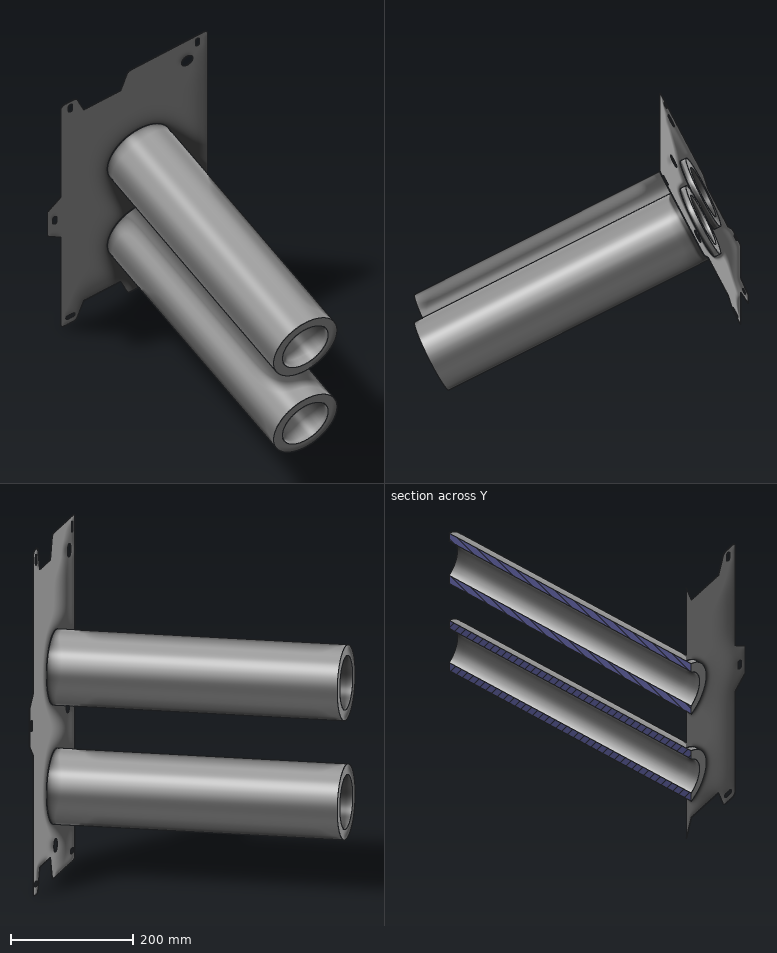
import cadquery as cq

plate_height = 580.0
plate_thickness = 1.0
plate_y_max = 134.5
plate_y_min = -154.0
corner_radius = 8.0

notch_y_max = -36.5
notch_y_min = -109.0
notch_depth = 40.0
notch_taper = 14.5

tab_reach = 26.0
tab_root_half = 53.0
tab_tip_half = 32.0

slot_length = 18.0
slot_width = 8.0
slot_y_left = 115.0
slot_y_right = -135.0
slot_z = 272.0
tab_slot_y = -166.0

hole_diameter = 22.0
hole_centres = [(94.5, 237.0), (86.0, -22.5), (0, -237.0)]

tube_length = 500.0
tube_outer_diameter = 125.0
tube_inner_diameter = 90.0
tube_protrusion = 10.0
tube_spacing = 200.0
upper_tube_z = 62.0
tube_heights = [upper_tube_z, upper_tube_z - tube_spacing]


def plate_sketch(y, z):
    """Workplane at (y, z) on the near face of the plate, with local axes Y and Z."""
    return cq.Workplane("YZ", origin=(0, y, z))


def make_slot(y, z, angle):
    """Slot cutter; angle 0 lies along Y and 90 along Z."""
    return plate_sketch(y, z).slot2D(slot_length, slot_width, angle).extrude(plate_thickness)


def make_blank():
    """Plate outline with the notches, the side tab and rounded corners."""
    top = plate_height / 2
    tab_y = plate_y_min - tab_reach
    upper_half = [
        (plate_y_max, top),
        (notch_y_max + notch_taper, top),
        (notch_y_max, top - notch_depth),
        (notch_y_min, top - notch_depth),
        (notch_y_min - notch_taper, top),
        (plate_y_min, top),
        (plate_y_min, tab_root_half),
        (tab_y, tab_tip_half),
    ]
    lower_half = [(y, -z) for y, z in reversed(upper_half)]
    blank = cq.Workplane("YZ").polyline(upper_half + lower_half).close().extrude(plate_thickness)
    return blank.edges("|X").edges(">Z or <Z").fillet(corner_radius)


def make_plate():
    plate = make_blank()
    for y in (slot_y_left, slot_y_right):
        plate = plate.cut(make_slot(y, slot_z, 90))
        plate = plate.cut(make_slot(y, -slot_z, 0))
    plate = plate.cut(make_slot(tab_slot_y, 0, 90))
    for y, z in hole_centres:
        plate = plate.cut(plate_sketch(y, z).circle(hole_diameter / 2).extrude(plate_thickness))
    for z in tube_heights:
        plate = plate.cut(plate_sketch(0, z).circle(tube_outer_diameter / 2).extrude(plate_thickness))
    return plate


def make_tube(z):
    """Straight tube whose near end stands proud of the plate."""
    return (
        cq.Workplane("YZ", origin=(-tube_protrusion, 0, z))
        .circle(tube_outer_diameter / 2)
        .circle(tube_inner_diameter / 2)
        .extrude(tube_length)
    )


plate = make_plate()
tubes = [make_tube(z) for z in tube_heights]

result = cq.Compound.makeCompound([plate.val(), *[tube.val() for tube in tubes]])